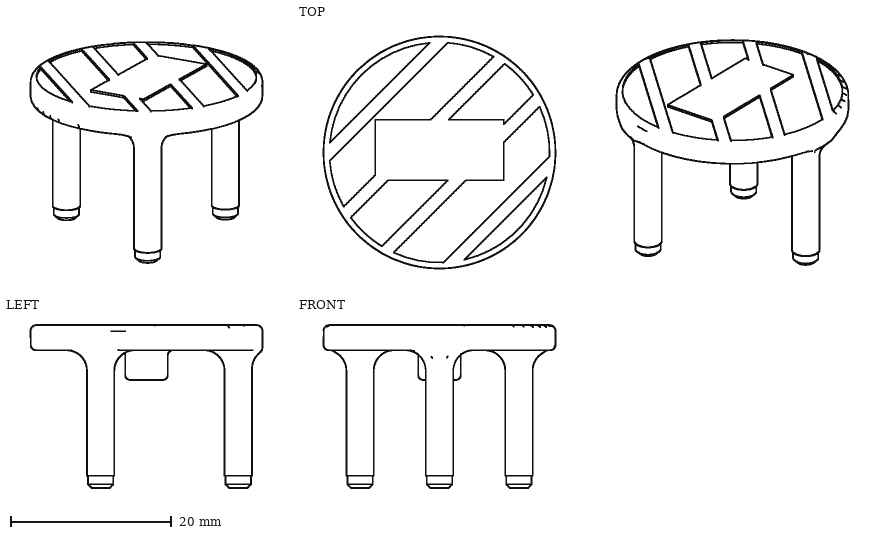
import cadquery as cq
import math

plate_radius = 14.46
plate_thickness = 3.15
top_edge_fillet = 0.75
bottom_edge_fillet = 0.7

recess_depth = 0.25
panel_length = 16.03
panel_width = 7.52
panel_center_y = 0.32
stripe_width = 1.6
stripe_pitch = 6.85
stripe_count = 4
stripe_shift = 0.55
stripe_angle = 45

overall_height = 20.3
leg_count = 3
first_leg_angle = -90
leg_circle_radius = 11.43
leg_radius = 3.45 / 2
leg_flare_radius = 2.52
flare_trim_radius = 2.45
flare_trim_center_z = -5.4
flare_trim_clearance = 0.015
tip_radius = 3.18 / 2
tip_length = 1.5
tip_chamfer = 0.45

boss_radius = 5.32 / 2
boss_bottom_z = -6.85
boss_root_fillet = 0.65
boss_edge_fillet = 0.6

plate_bottom_z = -plate_thickness
leg_bottom_z = -overall_height
plate_mid_z = plate_bottom_z / 2
rim_tolerance = 0.003
rim_sample_fractions = (0, 0.3, 0.5, 0.8)


def make_leg():
    """Leg on the Z axis: one revolved profile from the plate's mid-plane down to the tip."""
    flare_end_z = plate_bottom_z - leg_flare_radius
    flare_outer_radius = leg_radius + leg_flare_radius
    shoulder_z = leg_bottom_z + tip_length
    arc_inset = leg_flare_radius * (1 - math.sqrt(0.5))
    return (
        cq.Workplane("XZ")
        .moveTo(0, plate_mid_z)
        .lineTo(flare_outer_radius, plate_mid_z)
        .lineTo(flare_outer_radius, plate_bottom_z)
        .threePointArc(
            (leg_radius + arc_inset, plate_bottom_z - arc_inset),
            (leg_radius, flare_end_z),
        )
        .lineTo(leg_radius, shoulder_z)
        .lineTo(tip_radius, shoulder_z)
        .lineTo(tip_radius, leg_bottom_z + tip_chamfer)
        .lineTo(tip_radius - tip_chamfer, leg_bottom_z)
        .lineTo(0, leg_bottom_z)
        .close()
        .revolve(360, (0, 0, 0), (0, 1, 0))
    )


def make_leg_envelope():
    """Cylinder of the plate's radius, waisted by an arc that slims the outer side of each flare."""
    waist_radius = leg_circle_radius + leg_radius + flare_trim_clearance
    arc_center_radius = waist_radius + flare_trim_radius
    arc_half_height = math.sqrt(flare_trim_radius**2 - (arc_center_radius - plate_radius) ** 2)
    return (
        cq.Workplane("XZ")
        .lineTo(plate_radius, 0)
        .lineTo(plate_radius, flare_trim_center_z + arc_half_height)
        .threePointArc(
            (waist_radius, flare_trim_center_z),
            (plate_radius, flare_trim_center_z - arc_half_height),
        )
        .lineTo(plate_radius, leg_bottom_z)
        .lineTo(0, leg_bottom_z)
        .close()
        .revolve(360, (0, 0, 0), (0, 1, 0))
    )


def lies_on_lower_rim(edge):
    """True if the edge runs along the plate's outer radius at or below the plate's underside."""
    points = [edge.positionAt(fraction) for fraction in rim_sample_fractions]
    return all(
        abs(math.hypot(point.x, point.y) - plate_radius) < rim_tolerance
        and point.z < plate_bottom_z + rim_tolerance
        for point in points
    )


def make_plate_with_legs():
    """Plate with flared legs trimmed to the plate's outline, then both rims rounded."""
    body = cq.Workplane("XY").circle(plate_radius).extrude(plate_bottom_z)
    envelope = make_leg_envelope()
    for index in range(leg_count):
        angle = math.radians(first_leg_angle + index * 360 / leg_count)
        leg_x = leg_circle_radius * math.cos(angle)
        leg_y = leg_circle_radius * math.sin(angle)
        body = body.union(make_leg().translate((leg_x, leg_y, 0)).intersect(envelope))
    body = body.faces(">Z").edges().fillet(top_edge_fillet)
    lower_rim = [edge for edge in body.edges().vals() if lies_on_lower_rim(edge)]
    return body.newObject(lower_rim).fillet(bottom_edge_fillet)


def make_boss():
    """Round boss with a fillet into the plate and a rounded lower edge."""
    root_outer_radius = boss_radius + boss_root_fillet
    root_inset = boss_root_fillet * (1 - math.sqrt(0.5))
    edge_inset = boss_edge_fillet * (1 - math.sqrt(0.5))
    return (
        cq.Workplane("XZ")
        .moveTo(0, plate_mid_z)
        .lineTo(root_outer_radius, plate_mid_z)
        .lineTo(root_outer_radius, plate_bottom_z)
        .threePointArc(
            (boss_radius + root_inset, plate_bottom_z - root_inset),
            (boss_radius, plate_bottom_z - boss_root_fillet),
        )
        .lineTo(boss_radius, boss_bottom_z + boss_edge_fillet)
        .threePointArc(
            (boss_radius - edge_inset, boss_bottom_z + edge_inset),
            (boss_radius - boss_edge_fillet, boss_bottom_z),
        )
        .lineTo(0, boss_bottom_z)
        .close()
        .revolve(360, (0, 0, 0), (0, 1, 0))
    )


def make_top_recess():
    """Shallow round pocket inside the rim, minus the panel and the diagonal stripes."""
    recess_floor = cq.Workplane("XY", origin=(0, 0, -recess_depth))
    recess = recess_floor.circle(plate_radius - top_edge_fillet).extrude(recess_depth)
    panel = (
        recess_floor.center(0, panel_center_y)
        .rect(panel_length, panel_width)
        .extrude(recess_depth)
    )
    recess = recess.cut(panel)
    for index in range(stripe_count):
        offset = stripe_shift + (index - (stripe_count - 1) / 2) * stripe_pitch
        stripe = (
            recess_floor.center(0, -offset)
            .rect(2 * plate_radius, stripe_width)
            .extrude(recess_depth)
            .rotate((0, 0, 0), (0, 0, 1), stripe_angle)
        )
        recess = recess.cut(stripe)
    return recess


result = make_plate_with_legs().union(make_boss()).cut(make_top_recess())